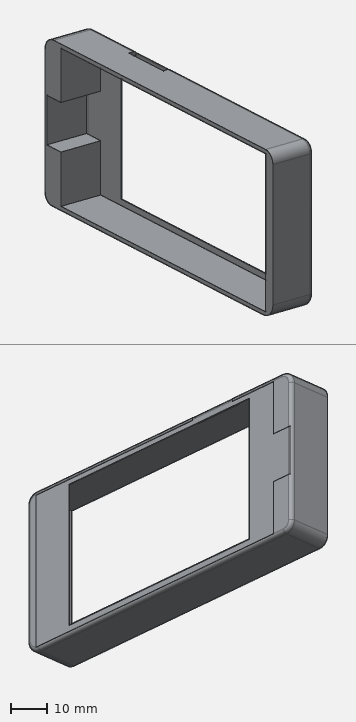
import cadquery as cq

length = 105.7
depth = 14.0
height = 50.0
back_edge_radius = 1.2

top_left_radius = 4.0
top_right_radius = 3.4
bottom_left_radius = 3.2
bottom_right_radius = 4.4

left_wall = 7.4
right_wall = 3.4
long_wall = 1.3
back_thickness = 0.2
pocket_depth = depth - back_thickness

window_left_margin = 16.9
window_right_margin = 16.7
window_bottom_margin = 3.2
window_top_margin = 3.0

notch_outer_skin = 0.8
notch_height = 14.9

slot_left = 23.9
slot_length = 16.0
slot_width = 2.5


def block(x_min, x_max, y_min, y_max, z_min, z_max):
    """Box given by its limits along each axis."""
    size = (x_max - x_min, y_max - y_min, z_max - z_min)
    return cq.Workplane("XY").box(*size, centered=False).translate((x_min, y_min, z_min))


def outer_body():
    """Solid body with rounded corners and a rounded back edge."""
    body = block(0, length, 0, depth, 0, height)
    body = body.edges("|Y and <X and >Z").fillet(top_left_radius)
    body = body.edges("|Y and >X and >Z").fillet(top_right_radius)
    body = body.edges("|Y and <X and <Z").fillet(bottom_left_radius)
    body = body.edges("|Y and >X and <Z").fillet(bottom_right_radius)
    return body.faces(">Y").edges().fillet(back_edge_radius)


pocket = block(left_wall, length - right_wall, 0, pocket_depth, long_wall, height - long_wall)

window = block(
    window_left_margin, length - window_right_margin,
    0, depth,
    window_bottom_margin, height - window_top_margin,
)

notch_bottom = (height - notch_height) / 2
notch = block(
    notch_outer_skin, left_wall,
    0, pocket_depth,
    notch_bottom, notch_bottom + notch_height,
)

slot = block(
    slot_left, slot_left + slot_length,
    pocket_depth - slot_width, pocket_depth,
    height - long_wall, height,
)

result = outer_body().cut(pocket).cut(window).cut(notch).cut(slot)